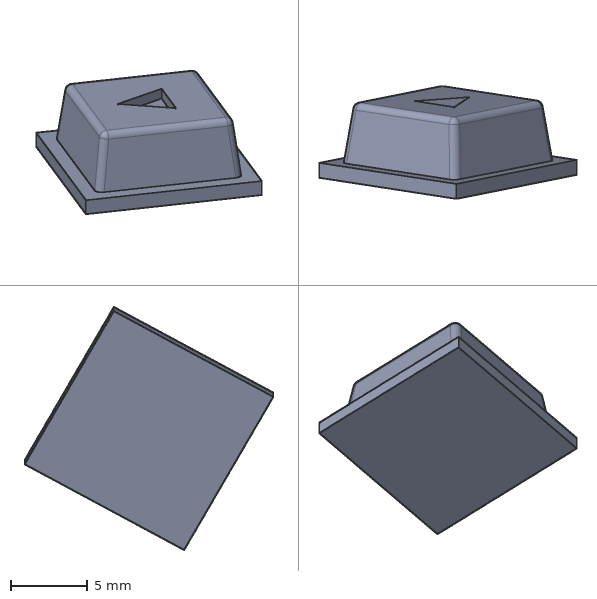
import cadquery as cq

BASE_SIDE = 12.0
BASE_THICKNESS = 1.0

TOTAL_HEIGHT = 5.0
CAP_HEIGHT = TOTAL_HEIGHT - BASE_THICKNESS
CAP_BOTTOM_SIDE = 10.0
CAP_TOP_SIDE = 9.0
CAP_EDGE_RADIUS = 0.5

ARROW_WIDTH = 3.46
ARROW_LENGTH = 3.48
ARROW_BACK_Y = 1.35
ARROW_DEPTH = 0.7


def make_base():
    """Plate resting on Z = 0, centred on the Z axis."""
    return cq.Workplane("XY").box(BASE_SIDE, BASE_SIDE, BASE_THICKNESS, centered=(True, True, False))


def make_cap():
    """Square frustum with its slanted corners and top rim rounded."""
    frustum = (
        cq.Workplane("XY", origin=(0, 0, BASE_THICKNESS))
        .rect(CAP_BOTTOM_SIDE, CAP_BOTTOM_SIDE)
        .workplane(offset=CAP_HEIGHT)
        .rect(CAP_TOP_SIDE, CAP_TOP_SIDE)
        .loft(ruled=True)
    )
    return frustum.edges("not <Z").fillet(CAP_EDGE_RADIUS)


def make_arrow():
    """Triangular prism that cuts the arrow recess."""
    corners = [
        (-ARROW_WIDTH / 2, ARROW_BACK_Y),
        (ARROW_WIDTH / 2, ARROW_BACK_Y),
        (0, ARROW_BACK_Y - ARROW_LENGTH),
    ]
    return (
        cq.Workplane("XY", origin=(0, 0, TOTAL_HEIGHT))
        .polyline(corners)
        .close()
        .extrude(-ARROW_DEPTH)
    )


result = make_base().union(make_cap()).cut(make_arrow())